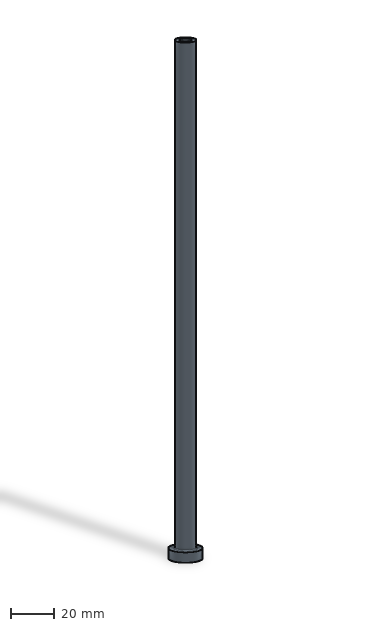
import cadquery as cq

total_length = 250.0
head_diameter = 16.0
head_height = 5.0
tube_diameter = 10.0
bore_diameter = 6.0
fillet_radius = 0.5

head = cq.Workplane("XY").circle(head_diameter / 2).extrude(head_height)
tube = cq.Workplane("XY").circle(tube_diameter / 2).extrude(total_length)
bore = cq.Workplane("XY").circle(bore_diameter / 2).extrude(total_length)

body = head.union(tube)

head_top = body.faces("+Z").faces("<Z")
corner_edges = head_top.edges(cq.selectors.RadiusNthSelector(0))
body = corner_edges.fillet(fillet_radius)

result = body.cut(bore)